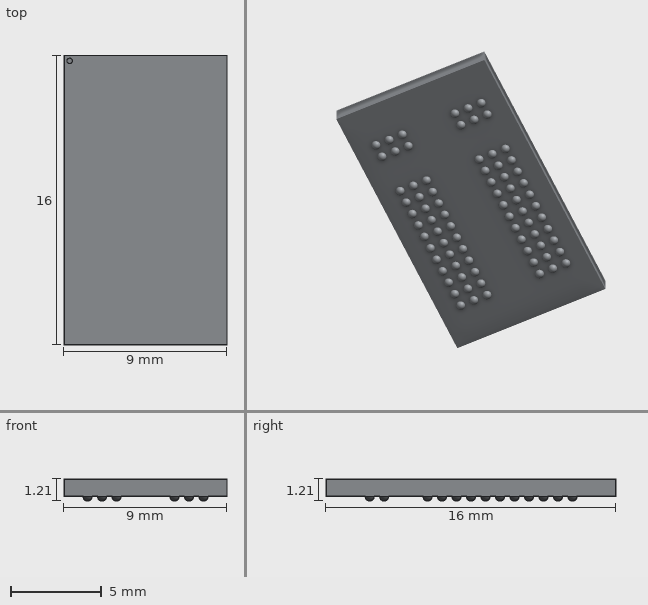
import cadquery as cq

BODY_LENGTH_X = 9.0
BODY_LENGTH_Y = 16.0
TOTAL_HEIGHT = 1.21

BALL_RADIUS = 0.25
BALL_DROP = 0.26
BALL_PITCH = 0.8

COLUMN_STEPS = (-4, -3, -2, 2, 3, 4)
ROW_STEPS = (-7, -6, *range(-3, 8))

MARKER_DIAMETER = 0.3
MARKER_EDGE_DISTANCE = 0.31
MARKER_DEPTH = 0.02


def make_body():
    """Flat rectangular body, raised by the height that the balls stand proud."""
    return (
        cq.Workplane("XY")
        .workplane(offset=BALL_DROP)
        .rect(BODY_LENGTH_X, BODY_LENGTH_Y)
        .extrude(TOTAL_HEIGHT - BALL_DROP)
    )


def cut_marker(body):
    """Sink the pin-one marker into the -X, +Y corner of the top face."""
    marker_x = -BODY_LENGTH_X / 2 + MARKER_EDGE_DISTANCE
    marker_y = BODY_LENGTH_Y / 2 - MARKER_EDGE_DISTANCE
    marker = (
        cq.Workplane("XY")
        .workplane(offset=TOTAL_HEIGHT - MARKER_DEPTH)
        .center(marker_x, marker_y)
        .circle(MARKER_DIAMETER / 2)
        .extrude(MARKER_DEPTH)
    )
    return body.cut(marker)


def add_balls(body):
    """Join a solder ball to the underside at every grid position in use."""
    centres = [
        (column * BALL_PITCH, row * BALL_PITCH)
        for column in COLUMN_STEPS
        for row in ROW_STEPS
    ]
    balls = (
        cq.Workplane("XY")
        .workplane(offset=BALL_RADIUS)
        .pushPoints(centres)
        .sphere(BALL_RADIUS, combine=False)
    )
    return cq.Workplane(body.val().fuse(*balls.vals()))


result = add_balls(cut_marker(make_body())).solids()